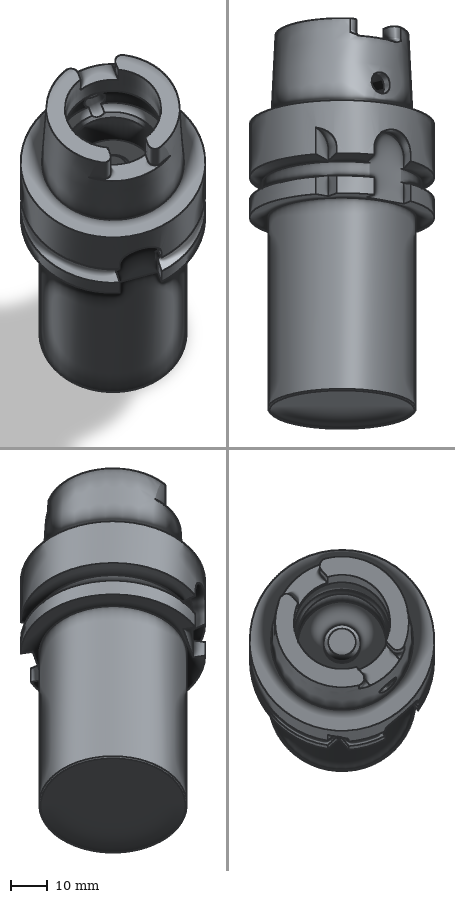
import cadquery as cq
import math

TOTAL_HEIGHT = 104.9
FLANGE_BOTTOM = 53.9
FLANGE_TOP = 79.9

SHANK_DIA = 40.0
FLANGE_DIA = 49.9
TAPER_BASE_DIA = 38.5
TAPER_TOP_DIA = 36.1
SHANK_CHAMFER = 0.4

GROOVE_DIA = 43.0
GROOVE_FLOOR_BOTTOM = 59.9
GROOVE_FLOOR_TOP = 63.7
GROOVE_MOUTH_BOTTOM = 58.7
GROOVE_MOUTH_TOP = 65.1

BORE_DIA = 26.0
UNDERCUT_DIA = 32.1
BORE_LIP_BOTTOM = 94.7
UNDERCUT_TOP = 92.9
UNDERCUT_BOTTOM = 85.0
INNER_BORE_DIA = 23.9
BORE_CHAMFER = (BORE_DIA - INNER_BORE_DIA) / 2
BORE_FLOOR = 73.4

STUB_DIA = 10.0
STUB_HEIGHT = 4.2
STUB_CHAMFER = 1.3

DRIVE_SLOT_WIDTH = 10.7
LEFT_SLOT_FLOOR = 100.1
RIGHT_SLOT_FLOOR = 97.0
RIM_CORNER_RADIUS = 2.0
LEFT_CORNER_FILLET = 1.6

KEYWAY_WIDTH = 12.0
KEYWAY_TOP = 72.9
KEYWAY_FLOOR_X = 20.9
NOTCH_FLOOR_X = 15.8
NOTCH_CENTER_Y = 21.2

RADIAL_HOLE_DIA = 6.0
RADIAL_HOLE_Z = 87.4


def revolve(points):
    """Turn an (r, z) outline around the Z axis."""
    return cq.Workplane("XZ").polyline(points).close().revolve(360, (0, 0, 0), (0, 1, 0))


def shank_and_flange():
    """Shank and grooved flange as one solid of revolution."""
    shank_r = SHANK_DIA / 2
    flange_r = FLANGE_DIA / 2
    groove_r = GROOVE_DIA / 2
    return revolve([
        (0, 0),
        (shank_r - SHANK_CHAMFER, 0),
        (shank_r, SHANK_CHAMFER),
        (shank_r, FLANGE_BOTTOM),
        (flange_r, FLANGE_BOTTOM),
        (flange_r, GROOVE_MOUTH_BOTTOM),
        (groove_r, GROOVE_FLOOR_BOTTOM),
        (groove_r, GROOVE_FLOOR_TOP),
        (flange_r, GROOVE_MOUTH_TOP),
        (flange_r, FLANGE_TOP),
        (0, FLANGE_TOP),
    ])


def taper():
    """Solid tapered nose above the flange."""
    return revolve([
        (0, FLANGE_TOP),
        (TAPER_BASE_DIA / 2, FLANGE_TOP),
        (TAPER_TOP_DIA / 2, TOTAL_HEIGHT),
        (0, TOTAL_HEIGHT),
    ])


def clamping_bore():
    """Bore with a clamping undercut and a chamfered step below it."""
    return revolve([
        (0, BORE_FLOOR),
        (INNER_BORE_DIA / 2, BORE_FLOOR),
        (INNER_BORE_DIA / 2, UNDERCUT_BOTTOM - BORE_CHAMFER),
        (BORE_DIA / 2, UNDERCUT_BOTTOM),
        (UNDERCUT_DIA / 2, UNDERCUT_BOTTOM),
        (UNDERCUT_DIA / 2, UNDERCUT_TOP),
        (BORE_DIA / 2, BORE_LIP_BOTTOM),
        (BORE_DIA / 2, TOTAL_HEIGHT),
        (0, TOTAL_HEIGHT),
    ])


def stub():
    """Chamfered round stub standing on the bore floor."""
    return (
        cq.Workplane("XY", origin=(0, 0, BORE_FLOOR))
        .circle(STUB_DIA / 2)
        .extrude(STUB_HEIGHT)
        .faces(">Z")
        .chamfer(STUB_CHAMFER)
    )


def rim_corner_center():
    """Center (x, y) of a rim corner arc tangent to the slot wall and to the top rim circle."""
    y = DRIVE_SLOT_WIDTH / 2 + RIM_CORNER_RADIUS
    distance = TAPER_TOP_DIA / 2 - RIM_CORNER_RADIUS
    return math.sqrt(distance**2 - y**2), y


def half_drive_slot(floor_z, follow_rim):
    """
    Half (y > 0) of a slot toward +X, ending at a rounded rim corner.
    Past the corner the wall follows the tangent of the rim, or else runs straight out in X.
    """
    half_width = DRIVE_SLOT_WIDTH / 2
    rim_r = TAPER_TOP_DIA / 2
    outer_x = FLANGE_DIA / 2
    center_x, center_y = rim_corner_center()
    rim_angle = math.atan2(center_y, center_x)
    arc_mid_angle = (rim_angle - math.pi / 2) / 2
    tangent_x = rim_r * math.cos(rim_angle)
    tangent_y = rim_r * math.sin(rim_angle)
    outline = (
        cq.Workplane("XY", origin=(0, 0, floor_z))
        .lineTo(0, half_width)
        .lineTo(center_x, half_width)
        .threePointArc(
            (
                center_x + RIM_CORNER_RADIUS * math.cos(arc_mid_angle),
                center_y + RIM_CORNER_RADIUS * math.sin(arc_mid_angle),
            ),
            (tangent_x, tangent_y),
        )
    )
    if follow_rim:
        outline = outline.lineTo(
            tangent_x - rim_r * math.sin(rim_angle),
            tangent_y + rim_r * math.cos(rim_angle),
        ).lineTo(outer_x, tangent_y + rim_r * math.cos(rim_angle))
    else:
        outline = outline.lineTo(outer_x, tangent_y)
    return outline.lineTo(outer_x, 0).close().extrude(TOTAL_HEIGHT - floor_z)


def corner_fillet():
    """Concave fillet at the foot of the y > 0 rim corner of a slot toward +X, beside the slot floor."""
    center_x, center_y = rim_corner_center()
    radius = LEFT_CORNER_FILLET
    arc_offset = radius * (1 - math.sqrt(0.5))
    inner_r = RIM_CORNER_RADIUS
    ring = (
        cq.Workplane("XZ", origin=(center_x, center_y, LEFT_SLOT_FLOOR))
        .lineTo(inner_r + radius, 0)
        .threePointArc((inner_r + arc_offset, arc_offset), (inner_r, radius))
        .lineTo(0, radius)
        .close()
        .revolve(360, (0, 0, 0), (0, 1, 0))
    )
    beside_floor = cq.Workplane("XY").box(
        FLANGE_DIA, FLANGE_DIA, TOTAL_HEIGHT, centered=(True, False, False)
    ).translate((0, DRIVE_SLOT_WIDTH / 2, 0))
    return ring.intersect(beside_floor)


def drive_slots():
    """Shallow slot with filleted corners on -X and a deeper plain slot on +X."""
    half_left = half_drive_slot(LEFT_SLOT_FLOOR, follow_rim=False).cut(corner_fillet()).mirror("YZ")
    half_right = half_drive_slot(RIGHT_SLOT_FLOOR, follow_rim=True)
    halves = half_left.union(half_right)
    return halves.union(halves.mirror("XZ"))


def flange_keyway(floor_x, side, center_y=0):
    """Round-topped keyway cut from the side (-1 or +1 in X) down to a flat floor, open at the flange bottom."""
    radius = KEYWAY_WIDTH / 2
    arc_z = KEYWAY_TOP - radius
    profile = (
        cq.Workplane("YZ", origin=(side * floor_x, 0, 0))
        .moveTo(center_y - radius, FLANGE_BOTTOM)
        .lineTo(center_y - radius, arc_z)
        .threePointArc((center_y, KEYWAY_TOP), (center_y + radius, arc_z))
        .lineTo(center_y + radius, FLANGE_BOTTOM)
        .close()
    )
    return profile.extrude(side * FLANGE_DIA)


def radial_hole():
    """Round hole along X through the taper wall on the -X side."""
    return (
        cq.Workplane("YZ")
        .center(0, RADIAL_HOLE_Z)
        .circle(RADIAL_HOLE_DIA / 2)
        .extrude(-FLANGE_DIA)
    )


nose = taper().cut(drive_slots())
result = (
    shank_and_flange()
    .union(nose)
    .cut(clamping_bore())
    .union(stub())
    .cut(radial_hole())
    .cut(flange_keyway(KEYWAY_FLOOR_X, -1))
    .cut(flange_keyway(KEYWAY_FLOOR_X, 1))
    .cut(flange_keyway(NOTCH_FLOOR_X, -1, NOTCH_CENTER_Y))
)